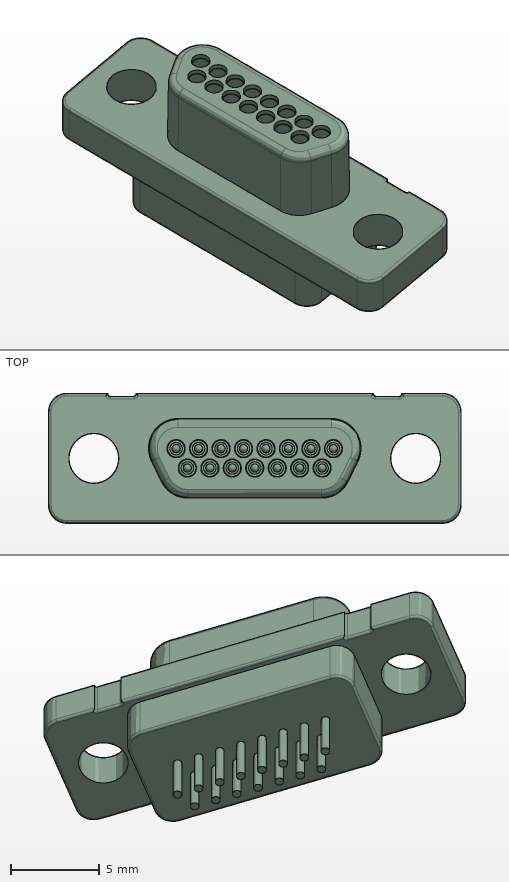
import cadquery as cq
import math

FLANGE_LENGTH = 23.35
FLANGE_WIDTH = 7.35
FLANGE_HEIGHT = 2.45
FLANGE_CORNER_RADIUS = 1.05
FLANGE_EDGE_RADIUS = 0.15

NOTCH_LENGTH = 1.6
NOTCH_DEPTH = 0.16
NOTCH_CORNER_RADIUS = 0.12
NOTCH_OFFSET = 7.52

MOUNT_HOLE_DIAMETER = 2.8
MOUNT_HOLE_OFFSET = 9.1

BODY_LENGTH = 13.6
BODY_WIDTH = 6.59
BODY_HEIGHT = 2.97
BODY_CORNER_RADIUS = 1.07
BODY_EDGE_RADIUS = 0.15

PLUG_HEIGHT = 4.58
PLUG_WIDTH = 4.5
PLUG_CORNER_RADIUS = 1.68
PLUG_WIDE_FLAT = 8.67
PLUG_NARROW_FLAT = 7.55
PLUG_DRAFT_ANGLE = 0.7
PLUG_EDGE_RADIUS = 0.45

WIDE_ROW_LENGTH = 8.9
ROW_SPACING = 1.1
WIDE_ROW_COUNT = 8
SOCKET_MOUTH_DIAMETER = 1.03
SOCKET_MOUTH_DEPTH = 0.28
SOCKET_DIAMETER = 0.95
SOCKET_DEPTH = 1.17
WELL_DIAMETER = 0.7
WELL_DEPTH = 1.87
TIP_DIAMETER = 0.47
TIP_RECESS = 1.17
TAIL_DIAMETER = 0.5
TAIL_LENGTH = 3.01

PLUG_TOP = FLANGE_HEIGHT + PLUG_HEIGHT
CONTACT_PITCH = WIDE_ROW_LENGTH / (WIDE_ROW_COUNT - 1)


def contact_points():
    points = []
    for count, y in ((WIDE_ROW_COUNT, ROW_SPACING / 2), (WIDE_ROW_COUNT - 1, -ROW_SPACING / 2)):
        for i in range(count):
            points.append(((i - (count - 1) / 2) * CONTACT_PITCH, y))
    return points


def rounded_plate(length, width, corner_radius):
    return cq.Workplane("XY").rect(length, width).extrude(FLANGE_HEIGHT).edges("|Z").fillet(corner_radius)


def round_rims(plate):
    return plate.faces("<Z or >Z").edges().fillet(FLANGE_EDGE_RADIUS)


def make_flange():
    flange = round_rims(rounded_plate(FLANGE_LENGTH, FLANGE_WIDTH, FLANGE_CORNER_RADIUS))

    window_width = FLANGE_WIDTH
    window_y = FLANGE_WIDTH / 2 - NOTCH_DEPTH + window_width / 2
    window = rounded_plate(NOTCH_LENGTH, window_width, NOTCH_CORNER_RADIUS)
    windowed_plate = cq.Workplane("XY").rect(2 * FLANGE_LENGTH, 4 * FLANGE_WIDTH).extrude(FLANGE_HEIGHT)
    for side in (-1, 1):
        windowed_plate = windowed_plate.cut(window.translate((side * NOTCH_OFFSET, window_y, 0)))
    flange = flange.intersect(round_rims(windowed_plate))

    mount_holes = (
        cq.Workplane("XY")
        .pushPoints([(side * MOUNT_HOLE_OFFSET, 0) for side in (-1, 1)])
        .circle(MOUNT_HOLE_DIAMETER / 2)
        .extrude(FLANGE_HEIGHT)
    )
    return flange.cut(mount_holes)


def make_body():
    return (
        cq.Workplane("XY")
        .rect(BODY_LENGTH, BODY_WIDTH)
        .extrude(-BODY_HEIGHT)
        .edges("|Z")
        .fillet(BODY_CORNER_RADIUS)
        .faces("<Z")
        .edges()
        .fillet(BODY_EDGE_RADIUS)
    )


def make_plug():
    r = PLUG_CORNER_RADIUS
    half_width = PLUG_WIDTH / 2
    wide_x = PLUG_WIDE_FLAT / 2
    narrow_x = PLUG_NARROW_FLAT / 2
    center_y = half_width - r
    flank_angle = math.atan2(wide_x - narrow_x, 2 * center_y)

    def on_arc(side, x, y, angle):
        return (side * (x + r * math.cos(angle)), y + r * math.sin(angle))

    def wide(side, angle):
        return on_arc(side, wide_x, center_y, angle)

    def narrow(side, angle):
        return on_arc(side, narrow_x, -center_y, angle)

    narrow_middle = -(math.pi / 2 + flank_angle) / 2
    return (
        cq.Workplane("XY", origin=(0, 0, FLANGE_HEIGHT))
        .moveTo(-wide_x, half_width)
        .lineTo(wide_x, half_width)
        .threePointArc(wide(1, 0), wide(1, -flank_angle))
        .lineTo(*narrow(1, -flank_angle))
        .threePointArc(narrow(1, narrow_middle), (narrow_x, -half_width))
        .lineTo(-narrow_x, -half_width)
        .threePointArc(narrow(-1, narrow_middle), narrow(-1, -flank_angle))
        .lineTo(*wide(-1, -flank_angle))
        .threePointArc(wide(-1, 0), (-wide_x, half_width))
        .close()
        .extrude(PLUG_HEIGHT, taper=PLUG_DRAFT_ANGLE)
        .faces(">Z")
        .edges()
        .fillet(PLUG_EDGE_RADIUS)
    )


def cylinders(diameter, bottom, top):
    return (
        cq.Workplane("XY", origin=(0, 0, bottom))
        .pushPoints(contact_points())
        .circle(diameter / 2)
        .extrude(top - bottom)
    )


def make_tips():
    radius = TIP_DIAMETER / 2
    dome_base = PLUG_TOP - TIP_RECESS - radius
    domes = cq.Workplane("XY", origin=(0, 0, dome_base)).pushPoints(contact_points()).sphere(radius)
    return cylinders(TIP_DIAMETER, PLUG_TOP - WELL_DEPTH, dome_base).union(domes)


def make_sockets():
    mouths = cylinders(SOCKET_MOUTH_DIAMETER, PLUG_TOP - SOCKET_MOUTH_DEPTH, PLUG_TOP)
    bores = cylinders(SOCKET_DIAMETER, PLUG_TOP - SOCKET_DEPTH, PLUG_TOP)
    wells = cylinders(WELL_DIAMETER, PLUG_TOP - WELL_DEPTH, PLUG_TOP)
    return mouths.union(bores).union(wells)


result = (
    make_flange()
    .union(make_body())
    .union(make_plug())
    .cut(make_sockets())
    .union(make_tips())
    .union(cylinders(TAIL_DIAMETER, -BODY_HEIGHT - TAIL_LENGTH, -BODY_HEIGHT))
)